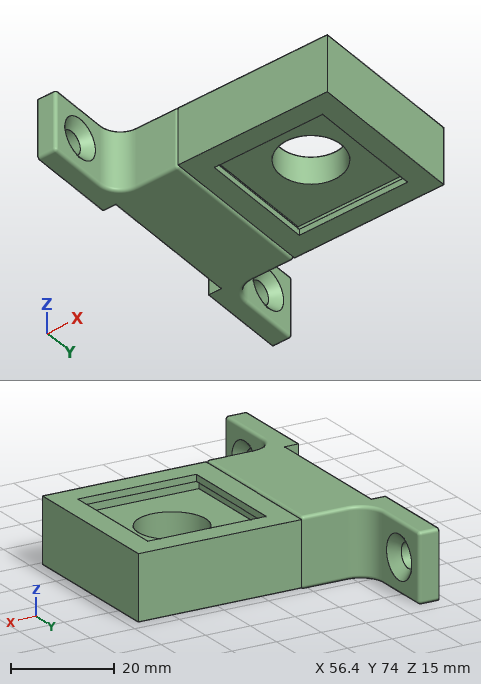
import cadquery as cq

bracket_width = 74.0
bracket_height = 15.0
foot_thickness = 4.5
neck_end = 19.75
relief_depth = 3.1
relief_width = 33.0
neck_corner_radius = 4.8
edge_radius = 0.75
screw_hole_diameter = 5.4
screw_hole_spacing = 58.9
countersink_diameter = 9.55
countersink_depth = (countersink_diameter - screw_hole_diameter) / 2

block_side = 36.5
overall_length = 56.4
block_length = overall_length - neck_end
block_height = 14.1
block_center = neck_end + block_length / 2
bore_diameter = 15.0

pocket_opening = 26.6
pocket_depth = 3.7
lip_thickness = 1.5
undercut = 1.4
cavity_side = pocket_opening + 2 * undercut


def make_screw_hole(hole_y):
    """Cutter for a hole along X that is countersunk on the +X side of a foot."""
    profile = [
        (0, 0),
        (0, screw_hole_diameter / 2),
        (foot_thickness - countersink_depth, screw_hole_diameter / 2),
        (foot_thickness, countersink_diameter / 2),
        (foot_thickness, 0),
    ]
    cutter = cq.Workplane("XY").polyline(profile).close().revolve(360, (0, 0, 0), (1, 0, 0))
    return cutter.translate((0, hole_y, 0))


def make_bracket():
    """T-shaped bracket with rounded free edges and two countersunk screw holes."""
    feet = cq.Workplane("XY").box(
        foot_thickness, bracket_width, bracket_height, centered=(False, True, True)
    )
    neck = cq.Workplane("XY").box(neck_end, block_side, bracket_height, centered=(False, True, True))
    body = feet.union(neck)

    inside_corners = cq.selectors.BoxSelector(
        (foot_thickness - edge_radius, -bracket_width / 2 + edge_radius, -bracket_height),
        (foot_thickness + edge_radius, bracket_width / 2 - edge_radius, bracket_height),
    )
    body = body.edges("|Z").edges(inside_corners).fillet(neck_corner_radius)

    body = body.edges("not(<X)").fillet(edge_radius)

    relief = cq.Workplane("XY").box(
        relief_depth, relief_width, bracket_height, centered=(False, True, True)
    )
    body = body.cut(relief)

    for hole_y in (-screw_hole_spacing / 2, screw_hole_spacing / 2):
        body = body.cut(make_screw_hole(hole_y))
    return body


def square_recess(side, start, depth):
    """Square prism on the block axis that starts at height start and goes down by depth."""
    return (
        cq.Workplane("XY", origin=(block_center, 0, start))
        .rect(side, side)
        .extrude(-depth)
    )


def make_block():
    """Square block with a through bore and an undercut pocket in each flat face."""
    body = cq.Workplane("XY", origin=(block_center, 0, 0)).box(block_length, block_side, block_height)
    bore = (
        cq.Workplane("XY", origin=(block_center, 0, 0))
        .circle(bore_diameter / 2)
        .extrude(block_height / 2, both=True)
    )
    opening = square_recess(pocket_opening, block_height / 2, lip_thickness)
    cavity = square_recess(cavity_side, block_height / 2 - lip_thickness, pocket_depth - lip_thickness)
    upper_pocket = opening.union(cavity)
    return body.cut(bore).cut(upper_pocket).cut(upper_pocket.mirror("XY"))


bracket = make_bracket()
block = make_block()

result = cq.Compound.makeCompound([bracket.val(), block.val()])